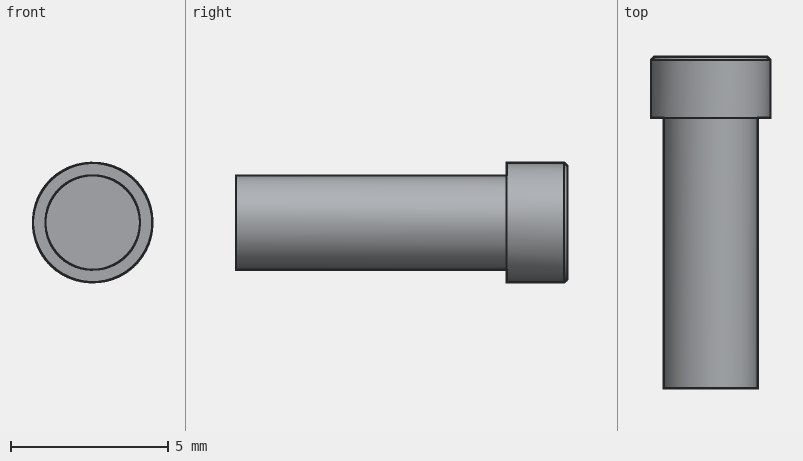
import cadquery as cq

total_length = 10.54
head_diameter = 3.8
head_length = 1.94
shank_diameter = 3.0
edge_chamfer = 0.11

shank_length = total_length - head_length
shank_end_y = -total_length / 2
head_seat_y = shank_end_y + shank_length


def cylinder_along_y(diameter, length, start_y):
    """Solid cylinder on the Y axis, running toward +Y from start_y."""
    base = cq.Workplane("XZ", origin=(0, start_y, 0))
    return base.circle(diameter / 2).extrude(-length)


shank = cylinder_along_y(shank_diameter, shank_length, shank_end_y)

head = cylinder_along_y(head_diameter, head_length, head_seat_y)
head = head.faces(">Y").edges().chamfer(edge_chamfer)

result = shank.union(head)